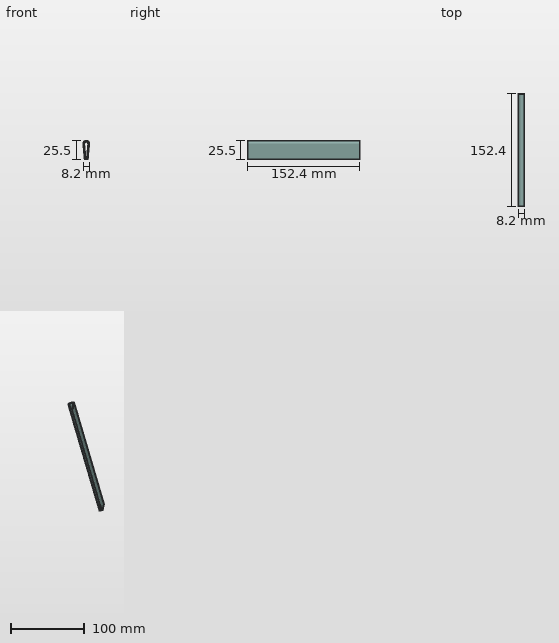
import cadquery as cq
import math

length = 152.4
height = 25.5
inner_width = 5.2
wall = 1.5
tip_gap = 1.5
inner_radius = inner_width / 2
bend_radius = inner_radius + wall
tip_radius = wall / 2
tip_offset = (tip_gap + wall) / 2

mid_radius = bend_radius - wall / 2
tip_z = bend_radius - height + tip_radius

tip_distance = math.hypot(tip_offset, tip_z)
tangent_angle = math.atan2(tip_z, tip_offset) + math.acos(mid_radius / tip_distance)
normal_x = math.cos(tangent_angle)
normal_z = math.sin(tangent_angle)


def fold_point(radius):
    """Point where the right leg meets the fold at the given radius."""
    return radius * normal_x, radius * normal_z


def tip_point(side_offset):
    """Point at the right tip, shifted along the leg's normal."""
    return tip_offset + side_offset * normal_x, tip_z + side_offset * normal_z


def mirrored(point):
    return -point[0], point[1]


outer_fold = fold_point(bend_radius)
inner_fold = fold_point(inner_radius)
outer_tip = tip_point(tip_radius)
inner_tip = tip_point(-tip_radius)
tip_end = (tip_offset + tip_radius * normal_z, tip_z - tip_radius * normal_x)

result = (
    cq.Workplane("XZ")
    .moveTo(*outer_tip)
    .lineTo(*outer_fold)
    .threePointArc((0, bend_radius), mirrored(outer_fold))
    .lineTo(*mirrored(outer_tip))
    .threePointArc(mirrored(tip_end), mirrored(inner_tip))
    .lineTo(*mirrored(inner_fold))
    .threePointArc((0, inner_radius), inner_fold)
    .lineTo(*inner_tip)
    .threePointArc(tip_end, outer_tip)
    .close()
    .extrude(length / 2, both=True)
)